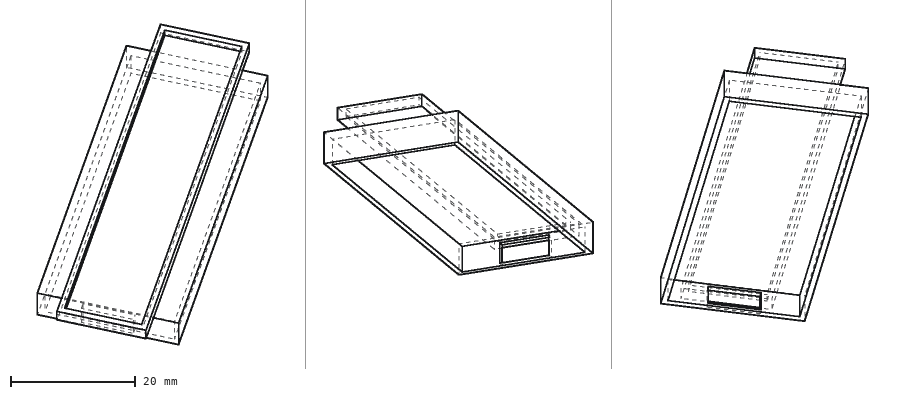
import cadquery as cq

base_width = 23.5
base_length = 53.6
base_height = 5.4
base_offset_y = 0.25
wall = 1.0
window_width = 8.65
window_offset_x = -0.1
window_height = 3.5
window_bottom = 0.5

tray_width = 14.8
tray_length = 62.2
tray_offset_x = 0.2
total_height = 7.5
tray_rim = 1.0
tray_depth = 1.3


def box(width, length, bottom, top, center_x=0, center_y=0):
    """Box centred on the given X and Y, spanning bottom to top in Z."""
    return (
        cq.Workplane("XY", origin=(center_x, center_y, bottom))
        .rect(width, length)
        .extrude(top - bottom)
    )


def make_base():
    outer = box(base_width, base_length, 0, base_height, center_y=base_offset_y)
    cavity = box(
        base_width - 2 * wall,
        base_length - 2 * wall,
        0,
        base_height - wall,
        center_y=base_offset_y,
    )
    front_wall_y = base_offset_y - base_length / 2 + wall / 2
    window_top = window_bottom + window_height
    window = box(window_width, wall, window_bottom, window_top, window_offset_x, front_wall_y)
    return outer.cut(cavity).cut(window)


def make_tray():
    outer = box(tray_width, tray_length, base_height, total_height, tray_offset_x)
    recess = box(
        tray_width - 2 * tray_rim,
        tray_length - 2 * tray_rim,
        total_height - tray_depth,
        total_height,
        tray_offset_x,
    )
    return outer.cut(recess)


result = make_base().union(make_tray())